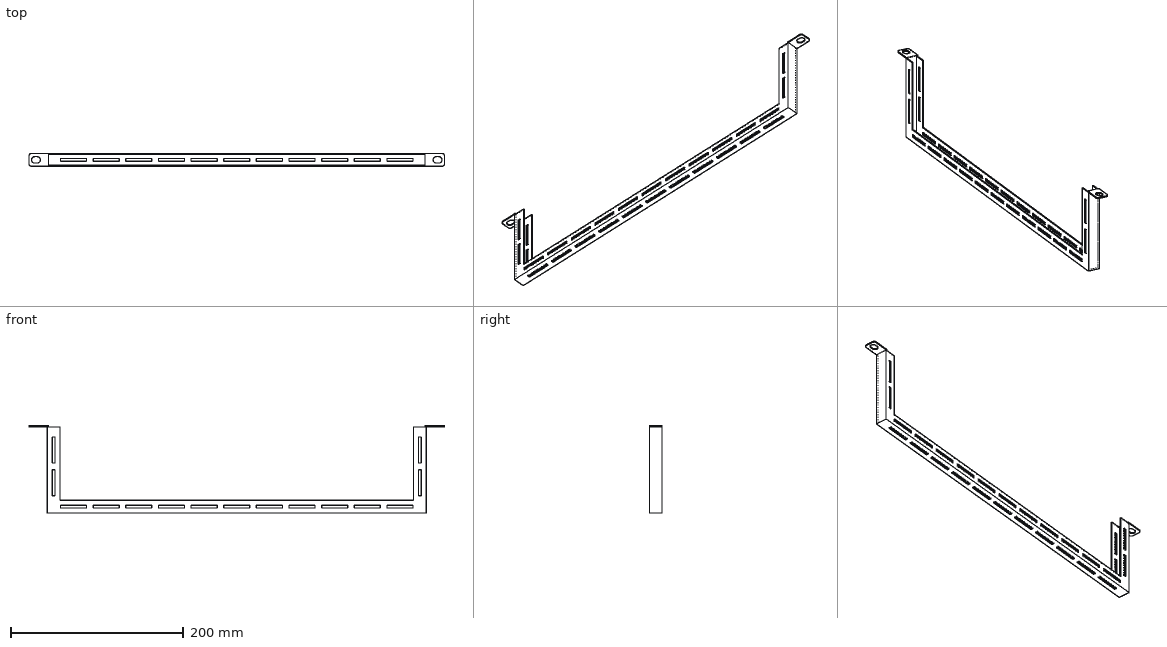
import cadquery as cq

overall_length = 483.0
overall_height = 101.5
channel_width = 15.0
channel_depth = 15.0
sheet = 1.5
tab_reach = 21.3
tab_corner_radius = 3.0

slot_length = 30.0
slot_width = 3.0
slot_pitch = 37.9
beam_slot_count = 11
post_slot_count = 2
lowest_post_slot = 35.5

hole_length = 10.0
hole_width = 7.2
hole_edge_distance = 8.0

frame_length = overall_length - 2 * tab_reach
wall_top = overall_height - sheet
post_axis = frame_length / 2 - channel_depth / 2
hole_x = overall_length / 2 - hole_edge_distance
sides = (-1, 1)


def block(length, width, height, x=0.0, z=0.0):
    """Box centred on x and on the XZ plane, standing on height z."""
    return cq.Workplane("XY").box(length, width, height, centered=(True, True, False)).translate((x, 0, z))


def make_frame():
    """U-shaped frame of channel whose open side faces inward."""
    walls = block(frame_length, channel_width, wall_top)
    window = block(frame_length - 2 * channel_depth, channel_width, wall_top, z=channel_depth)
    cavity = block(frame_length - 2 * sheet, channel_width - 2 * sheet, wall_top, z=sheet)
    return walls.cut(window).cut(cavity)


def make_tab(side):
    """Mounting tab bent outward from the top of a post's web."""
    length = tab_reach + sheet
    tab = block(length, channel_width, sheet, side * (overall_length - length) / 2, wall_top)
    outer_face = ">X" if side > 0 else "<X"
    tab = tab.faces(outer_face).edges("|Z").fillet(tab_corner_radius)
    hole = (
        cq.Workplane("XY", origin=(side * hole_x, 0, wall_top))
        .slot2D(hole_length, hole_width)
        .extrude(sheet)
    )
    return tab.cut(hole)


def make_slot_cutters():
    """Slots through the beam's web and side walls and the posts' side walls."""
    beam_slots = [((i - (beam_slot_count - 1) / 2) * slot_pitch, 0) for i in range(beam_slot_count)]
    post_slots = [
        (side * post_axis, lowest_post_slot + i * slot_pitch)
        for side in sides
        for i in range(post_slot_count)
    ]
    web_cutter = cq.Workplane("XY").pushPoints(beam_slots).rect(slot_length, slot_width).extrude(sheet)
    beam_cutter = (
        cq.Workplane("XZ", origin=(0, 0, channel_depth / 2))
        .pushPoints(beam_slots)
        .rect(slot_length, slot_width)
        .extrude(channel_width / 2, both=True)
    )
    post_cutter = (
        cq.Workplane("XZ")
        .pushPoints(post_slots)
        .rect(slot_width, slot_length)
        .extrude(channel_width / 2, both=True)
    )
    return web_cutter, beam_cutter, post_cutter


result = make_frame()
for side in sides:
    result = result.union(make_tab(side))
for cutter in make_slot_cutters():
    result = result.cut(cutter)